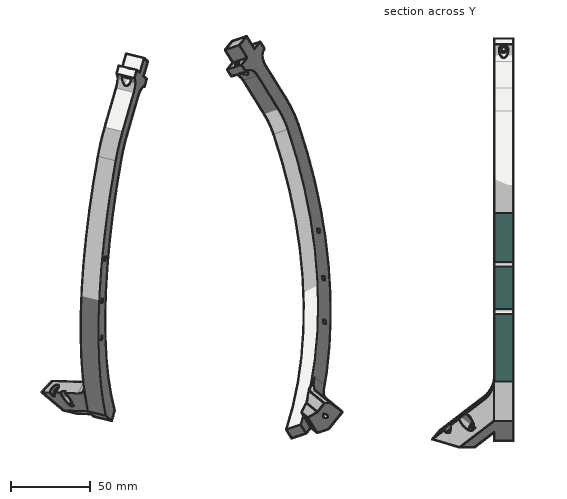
import cadquery as cq
import math


thickness = 12.0
rib_width = 12.0
half_width = rib_width / 2
bow_radius = 241.5
bow_center = (bow_radius, 94.5)
bow_top_angle = math.radians(29)
elbow_radius = 51.4
stem_angle = math.radians(40)
chin_z = 17.0
chin_length = 16.5
foot_z = 8.7

wing_top = 39.0
wing_thickness = 5.5
wing_bottom = wing_top - wing_thickness
head_end = 48.8
tab_half_width = 5.5
wing_reach = 13.9

rib_hole_diameter = 2.8
rib_hole_centers = [(11.5, 146.0), (6.7, 115.3), (6.0, 85.8)]
wing_hole_offset = 9.5
wing_hole_diameter = 3.0
wing_seat_diameter = 6.0

arm_turn = math.radians(45)
arm_reach = 17.0
bar_length = 77.0
front_run, front_rise = 12.0, 8.0
front_overlong = 2
lower_run = 6.7
back_depth = 11.8
ridge_run, ridge_depth = 0.3, 13.4
back_run, back_rise = 19.5, 13.4
seat_tilt = math.radians(11.5)
root_radius = 18.0
ridge_chamfer = 2.5
ridge_middle = (-23.0, 32.0, 20.5)
block = 154.0

arm_holes = [
    (cq.Vector(-28.8, 29.0, 13.5), cq.Vector(0.4, 0.5, -0.8)),
    (cq.Vector(-17.0, 20.8, 16.5), cq.Vector(0.8, 0.5, -0.6)),
]
arm_hole_diameter = 3.0
arm_seat_diameter = 7.5
arm_seat_depth = 5.1


def polar(center, radius, angle):
    """YZ point on a circle, the angle measured from -Y towards +Z."""
    return (center[0] - radius * math.cos(angle), center[1] + radius * math.sin(angle))


stem_normal_angle = math.pi / 2 - stem_angle
elbow_center = polar(bow_center, bow_radius - elbow_radius, bow_top_angle)
stem_start = polar(elbow_center, elbow_radius - half_width, stem_normal_angle)
along_stem = cq.Vector(0, math.cos(stem_angle), math.sin(stem_angle))
across_stem = cq.Vector(0, -math.sin(stem_angle), math.cos(stem_angle))


def stem_point(along, across):
    """YZ point at a distance along the stem and an offset to its convex side."""
    shift = along_stem * along + across_stem * across
    return (stem_start[0] + shift.y, stem_start[1] + shift.z)


def bow_angle(radius, z):
    """Angle at which an arc of the bow reaches a height."""
    return math.asin((z - bow_center[1]) / radius)


def edge_points(offset, end_angle):
    """Arc points of one long edge from the foot to the stem; offset 0 is the convex edge."""
    bow = bow_radius - offset
    elbow = elbow_radius - offset
    elbow_middle = (bow_top_angle + stem_normal_angle) / 2
    return [
        polar(bow_center, bow, end_angle),
        polar(bow_center, bow, (end_angle + bow_top_angle) / 2),
        polar(bow_center, bow, bow_top_angle),
        polar(elbow_center, elbow, elbow_middle),
        polar(elbow_center, elbow, stem_normal_angle),
    ]


chin_angle = bow_angle(bow_radius, chin_z)
chin = cq.Vector(0, *polar(bow_center, bow_radius, chin_angle))
chin_direction = across_stem * -1
chin_end = chin + chin_direction * chin_length


def make_rib():
    """Flat rib with its head, coves under the wings and the slanted foot."""
    cove = wing_reach - half_width
    cove_middle = cove * (1 - math.sqrt(0.5))
    cove_bottom = wing_bottom - cove
    convex = edge_points(0, chin_angle)
    concave = edge_points(rib_width, bow_angle(bow_radius - rib_width, foot_z))
    return (
        cq.Workplane("YZ")
        .moveTo(*convex[0])
        .threePointArc(convex[1], convex[2])
        .threePointArc(convex[3], convex[4])
        .lineTo(*stem_point(cove_bottom, half_width))
        .threePointArc(
            stem_point(wing_bottom - cove_middle, half_width + cove_middle),
            stem_point(wing_bottom, wing_reach),
        )
        .lineTo(*stem_point(wing_top, wing_reach))
        .lineTo(*stem_point(wing_top, tab_half_width))
        .lineTo(*stem_point(head_end, tab_half_width))
        .lineTo(*stem_point(head_end, -tab_half_width))
        .lineTo(*stem_point(wing_top, -tab_half_width))
        .lineTo(*stem_point(wing_top, -wing_reach))
        .lineTo(*stem_point(wing_bottom, -wing_reach))
        .threePointArc(
            stem_point(wing_bottom - cove_middle, -half_width - cove_middle),
            stem_point(cove_bottom, -half_width),
        )
        .lineTo(*concave[4])
        .threePointArc(concave[3], concave[2])
        .threePointArc(concave[1], concave[0])
        .lineTo(chin_end.y, chin_end.z)
        .close()
        .extrude(thickness)
    )


def drill(center, axis, diameter, length):
    """Cylinder starting at a point and running along an axis."""
    return cq.Workplane(cq.Solid.makeCylinder(diameter / 2, length, center, axis))


def rib_holes():
    """Small cross holes through the bow along X."""
    return (
        cq.Workplane("YZ")
        .pushPoints(rib_hole_centers)
        .circle(rib_hole_diameter / 2)
        .extrude(thickness)
    )


def wing_hole(side):
    """Screw hole through one wing with a flat seat cut into the cove below it."""
    cove_depth = wing_reach - half_width
    seat = cq.Vector(thickness / 2, *stem_point(wing_bottom, side * wing_hole_offset))
    through = drill(seat, along_stem, wing_hole_diameter, wing_thickness)
    return through.union(drill(seat, along_stem * -1, wing_seat_diameter, cove_depth))


outward = cq.Vector(-1, 0, 0)
arm_direction = outward * math.sin(arm_turn) + chin_direction * math.cos(arm_turn)
section_across = outward * math.cos(arm_turn) - chin_direction * math.sin(arm_turn)


def make_bar():
    """Arm bar cut at its end face and at the rib, with the front and back left overlong."""
    bar = (
        cq.Workplane(cq.Plane(chin, section_across, arm_direction))
        .workplane(offset=-bar_length)
        .moveTo(0, 0)
        .lineTo(front_overlong * front_run, front_overlong * front_rise)
        .lineTo(back_run - ridge_run, ridge_depth + back_rise)
        .lineTo(-ridge_run, ridge_depth)
        .lineTo(-lower_run, back_depth)
        .lineTo(-lower_run, 0)
        .close()
        .extrude(2 * bar_length)
    )
    end_center = chin_direction * arm_reach
    keep = (
        cq.Workplane(cq.Plane(end_center, cq.Vector(1, 0, 0), chin_direction))
        .center(-block / 2, 0)
        .rect(block, 2 * block)
        .extrude(-block)
    )
    return bar.intersect(keep)


def seat_cutter():
    """Block above the seat face; its rounded corner leaves the root fillet."""
    rise = cq.Vector(0, -math.sin(seat_tilt), math.cos(seat_tilt))
    seat_root = section_across * front_run + along_stem * front_rise
    to_rib = -seat_root.x / arm_direction.x
    corner = chin + seat_root + arm_direction * to_rib
    drop = block * arm_direction.dot(rise) / arm_direction.dot(outward)
    return (
        cq.Workplane(cq.Plane(corner, outward, outward.cross(rise)))
        .polyline([(0, 0), (block, drop), (block, block), (0, block)])
        .close()
        .extrude(block, both=True)
        .edges(cq.selectors.NearestToPointSelector(corner.toTuple()))
        .fillet(root_radius)
    )


def make_arm():
    """Arm with its seat face, chamfered ridge and counterbored screw holes."""
    arm = make_bar().cut(seat_cutter())
    ridge = arm.edges(cq.selectors.NearestToPointSelector(ridge_middle))
    arm = ridge.chamfer(ridge_chamfer)
    for mouth, axis in arm_holes:
        floor = mouth + axis.normalized() * arm_seat_depth
        arm = arm.cut(drill(floor, axis, arm_hole_diameter, bar_length))
        arm = arm.cut(drill(floor, axis * -1, arm_seat_diameter, bar_length))
    return arm


result = make_rib().union(make_arm())
result = result.cut(rib_holes()).cut(wing_hole(1)).cut(wing_hole(-1))